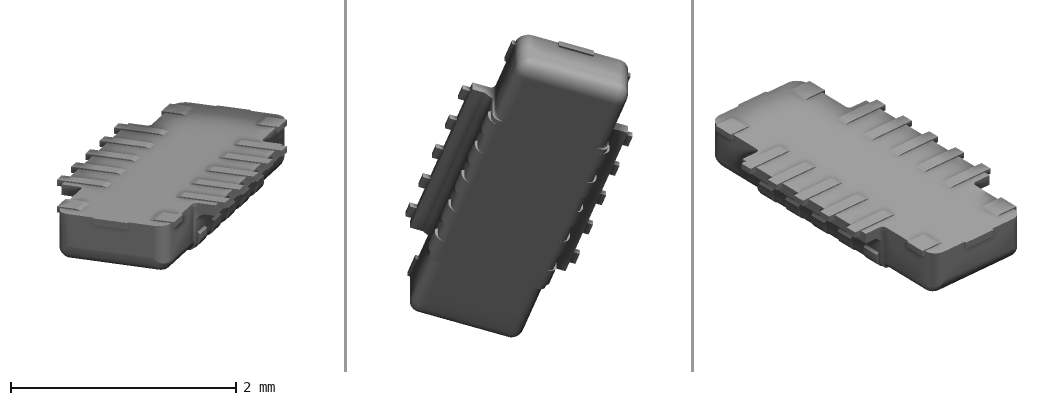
import cadquery as cq

total_height = 0.47
lead_span = 1.6
total_length = 3.05

body_width = 1.055
body_length = 3.01
body_top = 0.458
end_corner_radius = 0.122
side_bottom_radius = 0.105
end_bottom_radius = 0.15

middle_length = 1.653
middle_wall_length = 1.67
wing_width = 1.465
wing_bottom = 0.357
wing_chamfer_width = 0.067
wing_chamfer_height = 0.052
middle_wall_width = 1.092
middle_bottom_radius = 0.075
inside_corner_radius = 0.043

lead_count = 5
lead_pitch = 0.35
lead_width = 0.12
pad_span = 1.113
pad_width = 0.205
pad_y = 1.285
lead_bottom = 0.412
lead_crest_x = 0.372
lead_toe_x = 0.323

tab_width = 0.325
tab_inner_y = 1.36
tab_bottom = 0.393

rib_span = 1.145
rib_width = 0.177
rib_top = 0.168
rib_shoulder = 0.15
rib_bottom_radius = 0.1

pick_margin = 0.015


def block(width, length, height):
    """Box centred in X and Y, standing on Z = 0."""
    return cq.Workplane("XY").box(width, length, height, centered=(True, True, False))


def prism_along_y(points, length):
    """Extrude a closed XZ polygon along Y, centred on Y = 0."""
    return cq.Workplane("XZ").polyline(points).close().extrude(length / 2, both=True)


def both_sides(solid):
    """Add the mirror image across the YZ plane."""
    return solid.union(solid.mirror("YZ"))


def both_ends(solid):
    """Add the mirror image across the XZ plane."""
    return solid.union(solid.mirror("XZ"))


def make_plan_block():
    """Cross-shaped plan at full height, with the inside corners rounded."""
    plan = block(body_width, body_length, body_top).union(block(wing_width, middle_length, body_top))
    near_inside_corners = cq.selectors.BoxSelector(
        (-body_width / 2 - pick_margin, -middle_length / 2 - pick_margin, 0),
        (body_width / 2 + pick_margin, middle_length / 2 + pick_margin, body_top),
    )
    return plan.edges("|Z").edges(near_inside_corners).fillet(inside_corner_radius)


def make_rolled_block(plan):
    """Plan block with rounded end corners and rolled bottom edges at both ends."""
    upright = plan.edges("|Z and (<Y or >Y)").fillet(end_corner_radius)
    rolled = plan.faces("<Z").edges("<Y or >Y").fillet(end_bottom_radius)
    side_edges = cq.selectors.BoxSelector(
        (-body_width / 2 - pick_margin, -body_length / 2, -pick_margin),
        (body_width / 2 + pick_margin, body_length / 2, pick_margin),
    )
    rolled = rolled.edges("|Y").edges(side_edges).fillet(side_bottom_radius)
    return rolled.intersect(upright)


def make_wing_section(length):
    """Middle cross section: thin wings chamfered down onto the side walls."""
    wing_x = wing_width / 2
    wall_x = middle_wall_width / 2
    half = [
        (wall_x, 0),
        (wall_x, wing_bottom - wing_chamfer_height),
        (wall_x + wing_chamfer_width, wing_bottom),
        (wing_x, wing_bottom),
        (wing_x, body_top),
    ]
    other_half = [(-x, z) for x, z in reversed(half)]
    return prism_along_y(half + other_half, length)


def make_housing():
    """Housing: rolled ends joined to the wider, winged middle section."""
    plan = make_plan_block()
    ends = make_rolled_block(plan).intersect(make_wing_section(body_length))
    ends = ends.cut(block(wing_width, middle_wall_length, body_top))
    middle = make_wing_section(middle_wall_length).faces("<Z").edges("|Y").fillet(middle_bottom_radius)
    return ends.union(middle.intersect(plan))


def make_ribs():
    """Contact ribs standing proud of both side walls, rounded at the bottom."""
    wall_x = middle_wall_width / 2
    rib_x = rib_span / 2
    outline = [(0, 0), (rib_x, 0), (rib_x, rib_shoulder), (wall_x, rib_top), (0, rib_top)]
    rib = prism_along_y(outline, rib_width).edges("|Y and >X and <Z").fillet(rib_bottom_radius)
    return both_sides(rib)


def make_lead(outer_span, width):
    """Flat lead on +X and -X, with an inner end sloping down to the housing top."""
    outer_x = outer_span / 2
    outline = [
        (outer_x, lead_bottom),
        (outer_x, total_height),
        (lead_crest_x, total_height),
        (lead_toe_x, body_top),
        (lead_toe_x, lead_bottom),
    ]
    return both_sides(prism_along_y(outline, width))


def make_tab():
    """Tab at the +Y end, flush with the housing top."""
    tab_length = total_length / 2 - tab_inner_y
    tab = block(tab_width, tab_length, body_top - tab_bottom)
    return tab.translate((0, tab_inner_y + tab_length / 2, tab_bottom))


result = make_housing()

rib_pair = make_ribs()
lead_pair = make_lead(lead_span, lead_width)
for index in range(lead_count):
    lead_y = (index - (lead_count - 1) / 2) * lead_pitch
    result = result.union(rib_pair.translate((0, lead_y, 0)))
    result = result.union(lead_pair.translate((0, lead_y, 0)))

pad_pair = make_lead(pad_span, pad_width).translate((0, pad_y, 0))
result = result.union(both_ends(pad_pair))
result = result.union(both_ends(make_tab()))